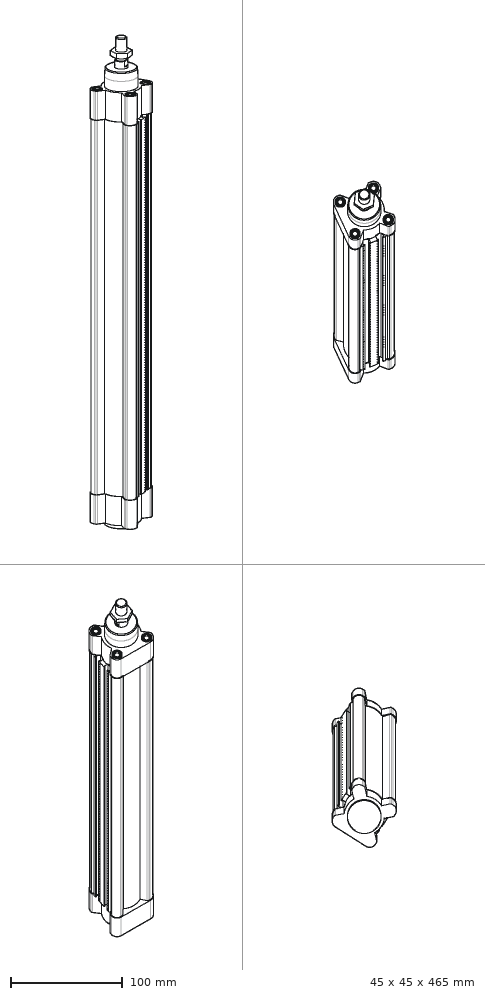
import cadquery as cq
import math

total_length = 465.0
rear_boss_height = 4.0
cap_length = 28.0
front_cap_top = 418.0
collar_top = 436.3

cap_width = 45.0
cap_half = cap_width / 2
barrel_half = 22.0
lobe_center = 16.5
lobe_inner = 14.0
lobe_edge_radius = 2.0
cap_waist_radius = 18.0
barrel_waist_radius = 18.5
cap_waist_half = 8.0
barrel_waist_half = 9.5

slot_floor = 16.7
slot_lip = 1.0
rail_half = 3.3
mouth_inner = 4.0
mouth_outer = 9.0
slot_outer = 10.0

groove_inner = 11.0
groove_bottom = 13.5
groove_outer = 15.0
groove_depth = 1.5

slot_profile = [
    (slot_floor, rail_half),
    (barrel_half - slot_lip, rail_half),
    (barrel_half - slot_lip, mouth_inner),
    (barrel_half, mouth_inner),
    (barrel_half, mouth_outer),
    (barrel_half - slot_lip, mouth_outer),
    (barrel_half - slot_lip, slot_outer),
    (slot_floor, mouth_outer),
]
groove_profile = [
    (barrel_half, groove_inner),
    (barrel_half - groove_depth, groove_bottom),
    (barrel_half, groove_outer),
]

collar_diameter = 30.0
collar_taper_z = 428.0
collar_top_diameter = 29.5
collar_chamfer = 1.0

head_groove_outer = 9.5
head_groove_inner = 8.0
head_groove_depth = 1.5
hole_mouth = 6.0
hole_diameter = 4.45
hole_depth = 14.0
drill_tip_angle = math.radians(118)

rod_diameter = 12.0
rod_depth = 28.0
thread_diameter = 10.0
thread_root_diameter = 8.5
shoulder_z = 443.2
thread_start_z = 447.0
tip_chamfer = (thread_diameter - thread_root_diameter) / 2
flat_width = 9.8
flat_bottom_z = 438.0

nut_flats = 17.0
nut_height = 5.0
nut_bottom_z = 447.0
nut_turn = 30
nut_face_diameter = 16.7
nut_chamfer_height = 0.5


def waist_cutter(half, waist_half, waist_radius, bottom, height):
    """Recess in the -Y side of a square bar: rounded rims, slanted walls and a round floor."""
    floor = math.sqrt(waist_radius**2 - waist_half**2)
    wall_angle = math.atan2(half - floor, lobe_inner - waist_half)
    tangent = lobe_edge_radius * math.tan(wall_angle / 2)
    rim_face = (lobe_inner + tangent, -half)
    rim_middle = (
        rim_face[0] - lobe_edge_radius * math.sin(wall_angle / 2),
        -half + lobe_edge_radius * (1 - math.cos(wall_angle / 2)),
    )
    rim_wall = (
        lobe_inner - tangent * math.cos(wall_angle),
        -half + tangent * math.sin(wall_angle),
    )
    return (
        cq.Workplane("XY", origin=(0, 0, bottom))
        .moveTo(*rim_face)
        .threePointArc(rim_middle, rim_wall)
        .lineTo(waist_half, -floor)
        .threePointArc((0, -waist_radius), (-waist_half, -floor))
        .lineTo(-rim_wall[0], rim_wall[1])
        .threePointArc((-rim_middle[0], rim_middle[1]), (-rim_face[0], rim_face[1]))
        .close()
        .extrude(height)
    )


def square_bar(half, bottom, height):
    return (
        cq.Workplane("XY", origin=(0, 0, bottom))
        .rect(2 * half, 2 * half)
        .extrude(height)
        .edges("|Z").fillet(half - lobe_center)
    )


def cap(bottom):
    """End cap with waisted sides, except for its flat +Y side."""
    body = square_bar(cap_half, bottom, cap_length)
    waist = waist_cutter(cap_half, cap_waist_half, cap_waist_radius, bottom, cap_length)
    for angle in (-90, 0, 90):
        body = body.cut(waist.rotate((0, 0, 0), (0, 0, 1), angle))
    return body


def prism(points, bottom, height):
    return cq.Workplane("XY", origin=(0, 0, bottom)).polyline(points).close().extrude(height)


def barrel(bottom, height):
    """Profile tube body: waists on the Y sides, sensor slots on the X sides."""
    body = square_bar(barrel_half, bottom, height)
    waist = waist_cutter(barrel_half, barrel_waist_half, barrel_waist_radius, bottom, height)
    for angle in (0, 180):
        body = body.cut(waist.rotate((0, 0, 0), (0, 0, 1), angle))
    for side_x in (-1, 1):
        for side_y in (-1, 1):
            for profile in (slot_profile, groove_profile):
                points = [(side_x * x, side_y * y) for x, y in profile]
                body = body.cut(prism(points, bottom, height))
    return body


def disc(diameter, bottom, height):
    return cq.Workplane("XY", origin=(0, 0, bottom)).circle(diameter / 2).extrude(height)


def turned_body(profile):
    """Solid of revolution about Z from (radius, z) points."""
    return cq.Workplane("XZ").polyline(profile).close().revolve(360, (0, 0), (0, 1))


def collar():
    """Round collar whose upper part tapers to a chamfered rim."""
    radius = collar_diameter / 2
    top_radius = collar_top_diameter / 2
    return turned_body([
        (0, front_cap_top),
        (radius, front_cap_top),
        (radius, collar_taper_z),
        (top_radius, collar_top - collar_chamfer),
        (top_radius - collar_chamfer, collar_top),
        (0, collar_top),
    ])


def screw_recess():
    """Head groove and blind threaded hole of one corner screw, to be cut away."""
    head_groove = disc(head_groove_outer, front_cap_top - head_groove_depth, head_groove_depth).cut(
        disc(head_groove_inner, front_cap_top - head_groove_depth, head_groove_depth))
    radius = hole_diameter / 2
    mouth_radius = hole_mouth / 2
    hole_floor = front_cap_top - hole_depth
    hole = turned_body([
        (0, front_cap_top),
        (mouth_radius, front_cap_top),
        (radius, front_cap_top - (mouth_radius - radius)),
        (radius, hole_floor),
        (0, hole_floor - radius / math.tan(drill_tip_angle / 2)),
    ])
    return head_groove.union(hole)


def make_housing():
    """Barrel between two end caps, with a rear boss and a front collar bored for the rod."""
    rear_cap_top = rear_boss_height + cap_length
    front_cap_bottom = front_cap_top - cap_length
    body = (
        disc(collar_diameter, 0, rear_boss_height)
        .union(cap(rear_boss_height))
        .union(barrel(rear_cap_top, front_cap_bottom - rear_cap_top))
        .union(cap(front_cap_bottom))
        .union(collar())
    )
    for x in (-lobe_center, lobe_center):
        for y in (-lobe_center, lobe_center):
            body = body.cut(screw_recess().translate((x, y, 0)))
    return body.cut(disc(rod_diameter, collar_top - rod_depth, rod_depth))


def make_rod():
    """Piston rod with wrench flats and a thinner threaded end."""
    profile = [
        (0, collar_top - rod_depth),
        (rod_diameter / 2, collar_top - rod_depth),
        (rod_diameter / 2, shoulder_z),
        (thread_root_diameter / 2, shoulder_z),
        (thread_diameter / 2, thread_start_z),
        (thread_diameter / 2, total_length - tip_chamfer),
        (thread_diameter / 2 - tip_chamfer, total_length),
        (0, total_length),
    ]
    body = turned_body(profile)
    flat_height = shoulder_z - flat_bottom_z
    flats = (
        cq.Workplane("XY", origin=(0, 0, flat_bottom_z))
        .rect(2 * rod_diameter, 2 * rod_diameter)
        .rect(flat_width, 2 * rod_diameter)
        .extrude(flat_height)
    )
    return body.cut(flats)


def make_nut():
    """Hexagon nut with its lower corners chamfered and its flats on the X sides."""
    corner_diameter = nut_flats / math.cos(math.pi / 6)
    top = nut_bottom_z + nut_height
    chamfer_envelope = turned_body([
        (0, nut_bottom_z),
        (nut_face_diameter / 2, nut_bottom_z),
        (corner_diameter / 2, nut_bottom_z + nut_chamfer_height),
        (corner_diameter / 2, top),
        (0, top),
    ])
    return (
        cq.Workplane("XY", origin=(0, 0, nut_bottom_z))
        .transformed(rotate=(0, 0, nut_turn))
        .polygon(6, corner_diameter).extrude(nut_height)
        .intersect(chamfer_envelope)
        .cut(disc(thread_diameter, nut_bottom_z, nut_height))
    )


housing = make_housing()
rod = make_rod()
nut = make_nut()

result = cq.Compound.makeCompound([housing.val(), rod.val(), nut.val()])